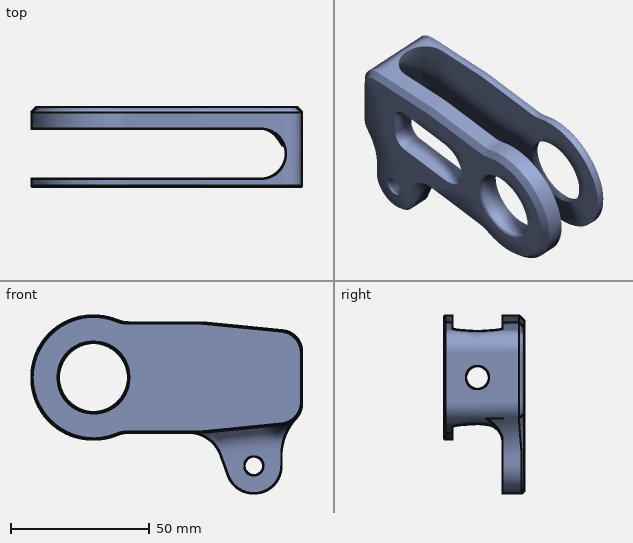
import cadquery as cq
import math


total_length = 98.0
total_width = 29.0
eye_radius = 22.49
eye_hole_diameter = 25.0
neck_radius = 10.0
body_half_height = 20.0
taper_start_x = 39.3
taper_angle = 5.7
taper_blend_radius = 30.0
corner_radius = 8.0

back_thickness = 7.9
front_thickness = 3.0
end_wall = 6.0
end_hole_diameter = 8.2
spot_face_diameter = 15.0
spot_face_depth = 0.2

back_chamfer = 2.0
fine_chamfer = 0.5

lug_x = 58.0
lug_z = -31.9
lug_radius = 10.0
lug_hole_diameter = 6.8
lug_right_blend = 20.0
lug_left_angle = 20.0
lug_left_blend = 12.0
lug_wall_fillet = 6.0

bevel_lug_inset = 1.0
bevel_left_angle = 4.0
bevel_left_blend = 10.0

window_left = 22.0
window_right = 57.3
window_height = 18.0
window_corner = 5.0

end_x = total_length - eye_radius
slot_radius = (total_width - back_thickness - front_thickness) / 2
slot_y = -back_thickness - slot_radius
slot_end_x = end_x - end_wall
slot_arc_x = slot_end_x - slot_radius
lug_center = (lug_x, lug_z)
neck_z = body_half_height + neck_radius
neck_x = math.sqrt((eye_radius + neck_radius) ** 2 - neck_z ** 2)
neck_angle = math.degrees(math.atan2(neck_z, neck_x))
taper = math.radians(taper_angle)
taper_normal = 90 - taper_angle
blend_x = taper_start_x - taper_blend_radius * math.tan(taper / 2)
corner_x = end_x - corner_radius
corner_drop = (corner_x - taper_start_x) * math.tan(taper) + corner_radius / math.cos(taper)
corner_z = body_half_height - corner_drop
lower_corner = (corner_x, -corner_z)


def polar(center, radius, degrees):
    """Point on a circle in XZ, the angle measured from +X towards +Z."""
    angle = math.radians(degrees)
    return (center[0] + radius * math.cos(angle), center[1] + radius * math.sin(angle))


def arc(path, center, radius, start, end):
    """Continue a path along a circle from one angle to another."""
    return path.threePointArc(polar(center, radius, (start + end) / 2), polar(center, radius, end))


def plane_at(y):
    """XZ workplane at the given Y; extrusions run towards -Y."""
    return cq.Workplane("XZ", origin=(0, y, 0))


def body_outline():
    """Closed outline of the eye, the necks, the tapered sides and the rounded end."""
    blend_z = body_half_height - taper_blend_radius
    path = plane_at(0).moveTo(*polar((0, 0), eye_radius, -neck_angle))
    path = path.threePointArc((-eye_radius, 0), polar((0, 0), eye_radius, neck_angle))
    path = arc(path, (neck_x, neck_z), neck_radius, 180 + neck_angle, 270)
    path = path.lineTo(blend_x, body_half_height)
    path = arc(path, (blend_x, blend_z), taper_blend_radius, 90, taper_normal)
    path = path.lineTo(*polar((corner_x, corner_z), corner_radius, taper_normal))
    path = arc(path, (corner_x, corner_z), corner_radius, taper_normal, 0)
    path = path.lineTo(end_x, -corner_z)
    path = arc(path, lower_corner, corner_radius, 0, -taper_normal)
    path = path.lineTo(*polar((blend_x, -blend_z), taper_blend_radius, -taper_normal))
    path = arc(path, (blend_x, -blend_z), taper_blend_radius, -taper_normal, -90)
    path = path.lineTo(neck_x, -body_half_height)
    path = arc(path, (neck_x, -neck_z), neck_radius, 90, 180 - neck_angle)
    return path.close()


def lug_outline(y, left_angle, left_blend, lug_inset=0.0, body_inset=0.0):
    """Closed lug outline whose two concave blends run tangent into the body outline."""
    radius = lug_radius - lug_inset
    edge_z = -body_half_height + body_inset

    lean = math.radians(left_angle)
    left_z = edge_z - left_blend
    left_reach = radius + left_blend + (left_z - lug_z) * math.sin(lean)
    left = (lug_x - left_reach / math.cos(lean), left_z)

    right_x = lug_x + radius + lug_right_blend
    reach_x = right_x - corner_x
    reach_z = math.sqrt((corner_radius - body_inset + lug_right_blend) ** 2 - reach_x ** 2)
    right = (right_x, -corner_z - reach_z)
    right_angle = 180 - math.degrees(math.atan2(reach_z, reach_x))

    path = plane_at(y).moveTo(neck_x, edge_z).lineTo(left[0], edge_z)
    path = arc(path, left, left_blend, 90, left_angle)
    path = path.lineTo(*polar(lug_center, radius, 180 + left_angle))
    path = arc(path, lug_center, radius, 180 + left_angle, 360)
    path = path.lineTo(*polar(right, lug_right_blend, 180))
    path = arc(path, right, lug_right_blend, 180, right_angle)
    path = path.lineTo(*lower_corner).lineTo(neck_x, -corner_z)
    return path.close()


def make_body():
    """Solid body with a broad chamfer at the back and a fine one at the front."""
    body = body_outline().extrude(total_width)
    body = body.faces(">Y").chamfer(back_chamfer)
    return body.faces("<Y").chamfer(fine_chamfer)


def make_lug():
    """Lug as thick as the back cheek, its back edge cut by a 45 degree bevel."""
    lug = lug_outline(0, lug_left_angle, lug_left_blend).extrude(back_thickness)
    bevel = lug_outline(0, bevel_left_angle, bevel_left_blend, bevel_lug_inset, back_chamfer)
    return lug.intersect(bevel.extrude(back_thickness, taper=-45))


def make_slot():
    """Cutter for the slot between the cheeks, open at the eye and round at the end wall."""
    height = 2 * neck_z
    path = cq.Workplane("XY", origin=(0, slot_y, -neck_z)).moveTo(-total_length, -slot_radius)
    path = path.lineTo(slot_arc_x, -slot_radius)
    path = path.threePointArc((slot_end_x, 0), (slot_arc_x, slot_radius))
    return path.lineTo(-total_length, slot_radius).close().extrude(height)


def ball_track(center, radius, start, end):
    """Tube swept by the fillet ball along a circle in XZ, one ball radius off the lug face."""
    ball_y = -back_thickness - lug_wall_fillet
    start_x, start_z = polar(center, radius, start)
    path = arc(plane_at(ball_y).moveTo(start_x, start_z), center, radius, start, end)
    heading = math.radians(start + 90)
    section = cq.Plane(
        origin=(start_x, ball_y, start_z),
        xDir=(0, 1, 0),
        normal=(math.cos(heading), 0, math.sin(heading)),
    )
    return cq.Workplane(section).circle(lug_wall_fillet).sweep(path)


def make_lug_wall_fillet():
    """Rolling ball fillet between the lug's front face and the underside of the end wall.

    The fillet runs around the body corner and dies out to the left, where the end wall
    thins to nothing at the tangent line of the slot.
    """
    outer_radius = corner_radius + lug_wall_fillet
    last_angle = -45

    runout_x = slot_arc_x
    runout_z = -body_half_height + (runout_x - taper_start_x) * math.tan(taper)
    joint_x, joint_z = polar(lower_corner, outer_radius, -taper_normal)
    step_x = runout_x - joint_x
    step_z = runout_z - joint_z
    rise = step_z * math.cos(taper) - step_x * math.sin(taper)
    runout_radius = (step_x ** 2 + step_z ** 2) / (2 * rise)
    runout_center = polar((joint_x, joint_z), runout_radius, 180 - taper_normal)
    spoke_x = runout_x - runout_center[0]
    spoke_z = runout_z - runout_center[1]
    runout_angle = math.degrees(math.atan2(spoke_z, spoke_x))

    stock = plane_at(-back_thickness).moveTo(runout_x, runout_z)
    stock = arc(stock, runout_center, runout_radius, runout_angle, -taper_normal)
    stock = arc(stock, lower_corner, outer_radius, -taper_normal, last_angle)
    stock = stock.lineTo(*polar(lower_corner, corner_radius, last_angle))
    stock = arc(stock, lower_corner, corner_radius, last_angle, -taper_normal)
    stock = stock.close().extrude(lug_wall_fillet)

    lug = lug_outline(-back_thickness, lug_left_angle, lug_left_blend).extrude(lug_wall_fillet)
    fillet = stock.intersect(lug)
    fillet = fillet.cut(ball_track(runout_center, runout_radius, runout_angle, -taper_normal))
    return fillet.cut(ball_track(lower_corner, outer_radius, -taper_normal, last_angle))


def y_hole(center, diameter, depth):
    """Cutter for a round hole running from the back face towards -Y."""
    return plane_at(0).center(*center).circle(diameter / 2).extrude(depth)


def make_eye_hole():
    """Cutter for the eye bore through both cheeks, chamfered at both outer faces."""
    mouth = eye_hole_diameter / 2 + fine_chamfer
    bore = y_hole((0, 0), eye_hole_diameter, total_width)
    back_mouth = plane_at(0).circle(mouth).extrude(fine_chamfer, taper=45)
    front_mouth = plane_at(-total_width).circle(mouth).extrude(-fine_chamfer, taper=45)
    return bore.union(back_mouth).union(front_mouth)


def make_window():
    """Cutter for the back cheek window: a full round on the left, rounded corners on the right."""
    half = window_height / 2
    round_x = window_left + half
    path = plane_at(0).moveTo(round_x, -half).threePointArc((window_left, 0), (round_x, half))
    path = path.lineTo(window_right, half).lineTo(window_right, -half).close()
    return path.extrude(back_thickness).edges("|Y and >X").fillet(window_corner)


def make_end_hole():
    """Cutter for the hole along X in the end wall with its flat spot face inside the slot."""
    axis = cq.Workplane("YZ", origin=(slot_arc_x, slot_y, 0))
    hole = axis.circle(end_hole_diameter / 2).extrude(end_x - slot_arc_x)
    spot_face = axis.circle(spot_face_diameter / 2).extrude(slot_radius + spot_face_depth)
    return hole.union(spot_face)


result = make_body().union(make_lug())
result = result.cut(make_slot())
result = result.union(make_lug_wall_fillet())
result = result.cut(make_eye_hole())
result = result.cut(y_hole(lug_center, lug_hole_diameter, back_thickness))
result = result.cut(make_window())
result = result.cut(make_end_hole())